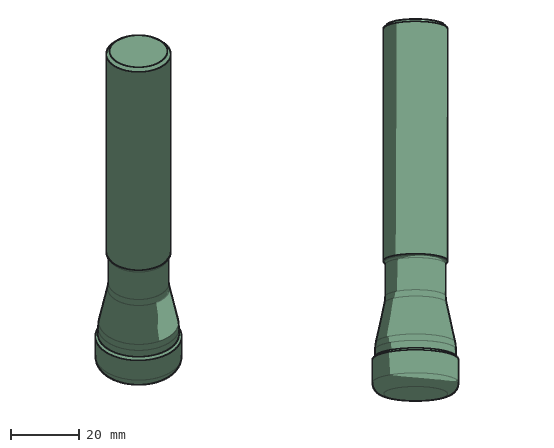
import cadquery as cq

TOTAL_LENGTH = 111.1
HEAD_HEIGHT = 11.0
SHANK_BOTTOM = 39.5

HEAD_RADIUS = 25.5 / 2
HEAD_CORNER_RADIUS = 3.3

COLLAR_RADIUS = 23.9 / 2
CONE_BOTTOM = 14.3
CONE_TOP = 28.3
CONE_BLEND_RADIUS = 9.5
NECK_RADIUS = 17.9 / 2
NECK_BLEND_RADIUS = 1.0
SHANK_RADIUS = 19.0 / 2
SHANK_TOP_CHAMFER = 1.0

HEAD_CHAMFER = HEAD_RADIUS - COLLAR_RADIUS
SHANK_SHOULDER = SHANK_RADIUS - NECK_RADIUS

SELECTION_MARGIN = 0.1


def make_head():
    """Round head with a rounded lower corner and a chamfer up to the collar."""
    head = cq.Workplane("XY").circle(HEAD_RADIUS).extrude(HEAD_HEIGHT)
    head = head.faces("<Z").edges().fillet(HEAD_CORNER_RADIUS)
    return head.faces(">Z").edges().chamfer(HEAD_CHAMFER)


def blend_ring(holder, height, blend_radius):
    """Round the circular edge of the holder at this height."""
    lower_corner = (-HEAD_RADIUS, -HEAD_RADIUS, height - SELECTION_MARGIN)
    upper_corner = (HEAD_RADIUS, HEAD_RADIUS, height + SELECTION_MARGIN)
    edge = cq.selectors.BoxSelector(lower_corner, upper_corner, boundingbox=True)
    return holder.edges(edge).fillet(blend_radius)


def make_holder():
    """Turned holder that stands on the head and tapers up to its shank."""
    profile = [
        (0, HEAD_HEIGHT),
        (COLLAR_RADIUS, HEAD_HEIGHT),
        (COLLAR_RADIUS, CONE_BOTTOM),
        (NECK_RADIUS, CONE_TOP),
        (NECK_RADIUS, SHANK_BOTTOM),
        (SHANK_RADIUS, SHANK_BOTTOM + SHANK_SHOULDER),
        (SHANK_RADIUS, TOTAL_LENGTH),
        (0, TOTAL_LENGTH),
    ]
    holder = cq.Workplane("XZ").polyline(profile).close().revolve(360, (0, 0), (0, 1))
    holder = holder.faces(">Z").edges().chamfer(SHANK_TOP_CHAMFER)
    for height in (CONE_BOTTOM, CONE_TOP):
        holder = blend_ring(holder, height, CONE_BLEND_RADIUS)
    return blend_ring(holder, SHANK_BOTTOM, NECK_BLEND_RADIUS)


head = make_head()
holder = make_holder()

result = cq.Compound.makeCompound([head.val(), holder.val()])